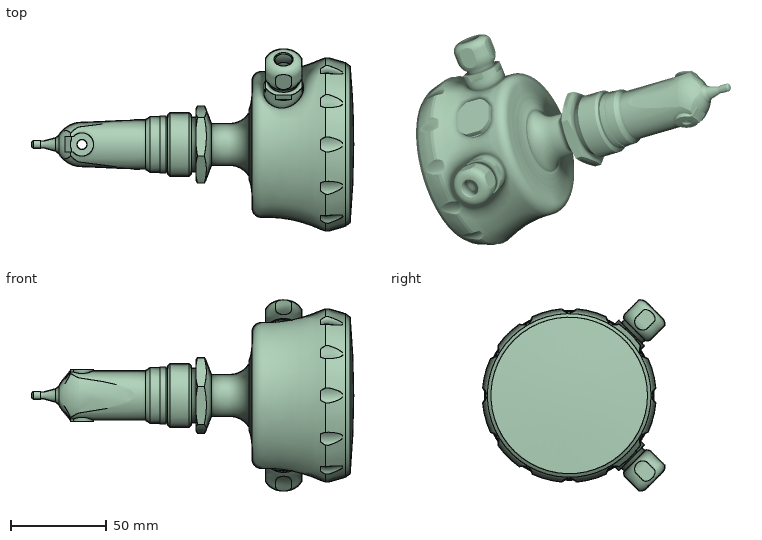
import cadquery as cq
import math

LENGTH = 168.8

PIN_RADIUS = 2.11
PIN_CHAMFER = 0.8
PIN_END = 4.7
PIN_NECK_RADIUS = 1.9
PIN_NECK_END = 6.2
PIN_CONE_END = 12.5
PIN_CONE_RADIUS = 3.5

BODY_RADIUS = 13.0
NOSE_START = 14.2
NOSE_START_RADIUS = 4.9
NOSE_MID = 17.5
NOSE_MID_RADIUS = 9.6
NOSE_BULGE = 0.3
NOSE_END = 20.5
BODY_END = 59.5

FLANK_OFFSET = 6.8
FLANK_NOSE_HALF_WIDTH = 4.9
FLANK_MID = 17.7
FLANK_MID_HALF_WIDTH = 8.8
FLANK_FRONT = 24.8
FLANK_FRONT_HALF_WIDTH = 11.6
FLANK_BACK = 54.0

CROSS_HOLE_X = 26.3
CROSS_HOLE_DIAMETER = 5.0
PAD_DIAMETER = 12.2
PAD_HEIGHT = 13.7
PAD_RAMP_WIDTH = 8.1
PAD_RAMP_TOP = 20.8

COLLAR_RADIUS = 15.0
COLLAR_START = 62.1
COLLAR_FRONT_RADIUS = 14.7
COLLAR_STEP = 67.3
COLLAR_END = 70.4
COLLAR_GROOVE_RADIUS = 14.3
COLLAR_GROOVE_END = 71.2
SLEEVE_RADIUS = 16.7
SLEEVE_CHAMFER = 1.2
SLEEVE_END = 83.7
RELIEF_RADIUS = 14.3

NUT_START = 86.0
NUT_CORNER_RADIUS = 20.8
NUT_FRONT_RADIUS = 18.4
NUT_FRONT_CHAMFER = 0.8
NUT_CONE_START = 90.5
NUT_CONE_END = 94.2
NUT_ROTATION = 13.3

NECK_RADIUS = 11.05
FLARE_START = 104.0
FLARE_RADIUS = 11.5
FLARE_SHELF = 113.7
DISH_RADIUS = 26.3
DISH_END_RADIUS = 27.2

CASE_FACE = 115.5
CASE_FRONT_RADIUS = 38.3
CASE_EDGE_RADIUS = 5.0
CASE_SIDE_MID = (135.0, 39.3)
CASE_END = 149.5
CASE_END_RADIUS = 43.7

LID_RADIUS = 45.5
LID_BAND_START = 153.9
LID_BAND_END = 155.6
LID_BACK_EDGE = 166.9
LID_BACK_RADIUS = 41.0
LID_SHOULDER = 164.4
LID_SHOULDER_RADIUS = 42.9

NOTCH_COUNT = 12
NOTCH_CUTTER_RADIUS = 5.4
NOTCH_START = 151.5
NOTCH_FLOOR_RADIUS = 43.9
NOTCH_TILT = 3.0
NOTCH_LENGTH = 20.3

PORT_X = 132.0
PORT_ROOT = 30.4
PORT_DIAMETER = 20.8
PORT_FLATS = 19.0
PORT_FLATS_HEIGHT = 3.2
GLAND_ANGLES = (45, 135)
PLUG_ANGLE = 90
GLAND_COLLAR_TOP = 46.2
PLUG_TOP = 41.3
GLAND_NECK_DIAMETER = 15.2
GLAND_NUT_BOTTOM = 48.6
GLAND_NUT_TOP = 63.1
GLAND_NUT_BOTTOM_RADIUS = 8.5
GLAND_NUT_BAND_START = 54.0
GLAND_NUT_ROUND = 4.4
GLAND_BORE_DIAMETER = 9.0
GLAND_BORE_DEPTH = 6.8
GLAND_BORE_CHAMFER = 0.5


def revolve_about_x(profile, offset=0.0):
    """Turn a profile drawn in the XY plane about the line y = offset."""
    return profile.close().revolve(360, (0, offset, 0), (1, offset, 0))


def make_probe():
    nose_middle = (
        (NOSE_START + NOSE_MID - NOSE_BULGE) / 2,
        (NOSE_START_RADIUS + NOSE_MID_RADIUS + NOSE_BULGE) / 2,
    )
    body = revolve_about_x(
        cq.Workplane("XY")
        .moveTo(NOSE_START, 0)
        .lineTo(NOSE_START, NOSE_START_RADIUS)
        .threePointArc(nose_middle, (NOSE_MID, NOSE_MID_RADIUS))
        .lineTo(NOSE_END, BODY_RADIUS)
        .lineTo(BODY_END, BODY_RADIUS)
        .lineTo(BODY_END, 0)
    )
    for side in (1, -1):
        offset = -side * FLANK_OFFSET
        flank = revolve_about_x(
            cq.Workplane("XY")
            .moveTo(NOSE_START, offset)
            .lineTo(NOSE_START, side * FLANK_NOSE_HALF_WIDTH)
            .threePointArc(
                (FLANK_MID, side * FLANK_MID_HALF_WIDTH),
                (FLANK_FRONT, side * FLANK_FRONT_HALF_WIDTH),
            )
            .lineTo(FLANK_BACK, side * BODY_RADIUS)
            .lineTo(BODY_END, side * BODY_RADIUS)
            .lineTo(BODY_END, offset),
            offset,
        )
        body = body.intersect(flank)

    pads = (
        cq.Workplane("XY", origin=(CROSS_HOLE_X, 0, -PAD_HEIGHT))
        .circle(PAD_DIAMETER / 2)
        .extrude(2 * PAD_HEIGHT)
    )
    pad_ramps = (
        cq.Workplane("XZ")
        .moveTo(NOSE_MID, -NOSE_MID_RADIUS)
        .lineTo(NOSE_MID, NOSE_MID_RADIUS)
        .lineTo(PAD_RAMP_TOP, PAD_HEIGHT)
        .lineTo(CROSS_HOLE_X, PAD_HEIGHT)
        .lineTo(CROSS_HOLE_X, -PAD_HEIGHT)
        .lineTo(PAD_RAMP_TOP, -PAD_HEIGHT)
        .close()
        .extrude(PAD_RAMP_WIDTH / 2, both=True)
    )
    cross_hole = (
        cq.Workplane("XY", origin=(CROSS_HOLE_X, 0, -PAD_HEIGHT))
        .circle(CROSS_HOLE_DIAMETER / 2)
        .extrude(2 * PAD_HEIGHT)
    )
    pin = revolve_about_x(
        cq.Workplane("XY")
        .lineTo(0, PIN_RADIUS - PIN_CHAMFER)
        .lineTo(PIN_CHAMFER, PIN_RADIUS)
        .lineTo(PIN_END, PIN_RADIUS)
        .lineTo(PIN_END, PIN_NECK_RADIUS)
        .lineTo(PIN_NECK_END, PIN_NECK_RADIUS)
        .lineTo(PIN_CONE_END, PIN_CONE_RADIUS)
        .lineTo(NOSE_START, NOSE_START_RADIUS)
        .lineTo(FLANK_MID, NOSE_START_RADIUS)
        .lineTo(FLANK_MID, 0)
    )
    return body.union(pads).union(pad_ramps).union(pin).cut(cross_hole)


def make_turned_body():
    """Collar, sleeve, neck, case and lid as one turned profile."""
    round_middle = CASE_EDGE_RADIUS * (1 - math.sqrt(0.5))
    flare_run = FLARE_SHELF - FLARE_START
    flare_end_radius = NECK_RADIUS + FLARE_RADIUS - math.sqrt(FLARE_RADIUS**2 - flare_run**2)
    dish_rise = DISH_RADIUS - (CASE_FACE - FLARE_SHELF)
    dish_start_radius = DISH_END_RADIUS - math.sqrt(DISH_RADIUS**2 - dish_rise**2)
    crown_height = LENGTH - LID_BACK_EDGE
    crown_radius = (LID_BACK_RADIUS**2 + crown_height**2) / (2 * crown_height)
    crown_middle_radius = LID_BACK_RADIUS / 2
    crown_middle_x = LENGTH - crown_radius + math.sqrt(crown_radius**2 - crown_middle_radius**2)
    return revolve_about_x(
        cq.Workplane("XY")
        .moveTo(BODY_END, 0)
        .lineTo(BODY_END, BODY_RADIUS)
        .lineTo(COLLAR_START, COLLAR_FRONT_RADIUS)
        .lineTo(COLLAR_STEP, COLLAR_FRONT_RADIUS)
        .lineTo(COLLAR_STEP, COLLAR_RADIUS)
        .lineTo(COLLAR_END, COLLAR_RADIUS)
        .lineTo(COLLAR_END, COLLAR_GROOVE_RADIUS)
        .lineTo(COLLAR_GROOVE_END, COLLAR_GROOVE_RADIUS)
        .lineTo(COLLAR_GROOVE_END, SLEEVE_RADIUS - SLEEVE_CHAMFER)
        .lineTo(COLLAR_GROOVE_END + SLEEVE_CHAMFER, SLEEVE_RADIUS)
        .lineTo(SLEEVE_END - SLEEVE_CHAMFER, SLEEVE_RADIUS)
        .lineTo(SLEEVE_END, SLEEVE_RADIUS - SLEEVE_CHAMFER)
        .lineTo(SLEEVE_END, RELIEF_RADIUS)
        .lineTo(NUT_START, RELIEF_RADIUS)
        .lineTo(NUT_START, NECK_RADIUS)
        .lineTo(FLARE_START, NECK_RADIUS)
        .radiusArc((FLARE_SHELF, flare_end_radius), -FLARE_RADIUS)
        .lineTo(FLARE_SHELF, dish_start_radius)
        .radiusArc((CASE_FACE, DISH_END_RADIUS), -DISH_RADIUS)
        .lineTo(CASE_FACE, CASE_FRONT_RADIUS - CASE_EDGE_RADIUS)
        .threePointArc(
            (CASE_FACE + round_middle, CASE_FRONT_RADIUS - round_middle),
            (CASE_FACE + CASE_EDGE_RADIUS, CASE_FRONT_RADIUS),
        )
        .threePointArc(CASE_SIDE_MID, (CASE_END, CASE_END_RADIUS))
        .lineTo(LID_BAND_START, LID_RADIUS)
        .lineTo(LID_BAND_END, LID_RADIUS)
        .lineTo(LID_SHOULDER, LID_SHOULDER_RADIUS)
        .lineTo(LID_BACK_EDGE, LID_BACK_RADIUS)
        .threePointArc((crown_middle_x, crown_middle_radius), (LENGTH, 0))
    )


def make_hex_nut():
    hexagon = (
        cq.Workplane("YZ", origin=(NUT_START, 0, 0))
        .polygon(6, 2 * NUT_CORNER_RADIUS)
        .extrude(NUT_CONE_END - NUT_START)
        .rotate((0, 0, 0), (1, 0, 0), -NUT_ROTATION)
    )
    turned_limits = revolve_about_x(
        cq.Workplane("XY")
        .moveTo(NUT_START, 0)
        .lineTo(NUT_START, NUT_FRONT_RADIUS)
        .lineTo(NUT_START + NUT_FRONT_CHAMFER, NUT_CORNER_RADIUS)
        .lineTo(NUT_CONE_START, NUT_CORNER_RADIUS)
        .lineTo(NUT_CONE_END, NECK_RADIUS)
        .lineTo(NUT_CONE_END, 0)
    )
    return hexagon.intersect(turned_limits)


def make_flats(bottom, top):
    """Square bar whose sides are the four wrench flats of a port."""
    return (
        cq.Workplane("XY", origin=(0, 0, bottom))
        .rect(PORT_FLATS, PORT_FLATS)
        .extrude(top - bottom)
    )


def make_collar(top):
    """Round collar with four wrench flats at its outer end."""
    flats_bottom = top - PORT_FLATS_HEIGHT
    collar = (
        cq.Workplane("XY", origin=(0, 0, PORT_ROOT))
        .circle(PORT_DIAMETER / 2)
        .extrude(top - PORT_ROOT)
    )
    flats_limit = make_flats(flats_bottom, top).union(
        cq.Workplane("XY", origin=(0, 0, PORT_ROOT))
        .circle(PORT_DIAMETER / 2)
        .extrude(flats_bottom - PORT_ROOT)
    )
    return collar.intersect(flats_limit)


def make_gland():
    neck = (
        cq.Workplane("XY", origin=(0, 0, PORT_ROOT))
        .circle(GLAND_NECK_DIAMETER / 2)
        .extrude(GLAND_NUT_TOP - PORT_ROOT - GLAND_BORE_DEPTH)
    )
    band_radius = PORT_DIAMETER / 2
    taper_height = GLAND_NUT_BAND_START - GLAND_NUT_BOTTOM
    taper_depth = band_radius - GLAND_NUT_BOTTOM_RADIUS
    taper_radius = (taper_height**2 + taper_depth**2) / (2 * taper_depth)
    turned_nut = (
        cq.Workplane("XZ")
        .moveTo(0, GLAND_NUT_BOTTOM)
        .lineTo(GLAND_NUT_BOTTOM_RADIUS, GLAND_NUT_BOTTOM)
        .radiusArc((band_radius, GLAND_NUT_BAND_START), -taper_radius)
        .lineTo(band_radius, GLAND_NUT_TOP - GLAND_NUT_ROUND)
        .radiusArc((band_radius - GLAND_NUT_ROUND, GLAND_NUT_TOP), -GLAND_NUT_ROUND)
        .lineTo(0, GLAND_NUT_TOP)
        .close()
        .revolve(360, (0, 0, 0), (0, 1, 0))
    )
    nut = turned_nut.intersect(make_flats(GLAND_NUT_BOTTOM, GLAND_NUT_TOP))
    nut = (
        nut.faces(">Z").workplane(origin=(0, 0, GLAND_NUT_TOP))
        .cskHole(
            GLAND_BORE_DIAMETER,
            GLAND_BORE_DIAMETER + 2 * GLAND_BORE_CHAMFER,
            90,
            GLAND_BORE_DEPTH,
        )
    )
    return make_collar(GLAND_COLLAR_TOP).union(neck).union(nut)


def place_port(port, angle):
    """Stand a port on the case; the angle is measured from +Z for 0 towards +Y."""
    return port.rotate((0, 0, 0), (1, 0, 0), -angle).translate((PORT_X, 0, 0))


def make_notch():
    """Tilted cylinder that scoops one grip notch out of the top of the lid."""
    return (
        cq.Workplane("YZ")
        .circle(NOTCH_CUTTER_RADIUS)
        .extrude(NOTCH_LENGTH)
        .rotate((0, 0, 0), (0, 1, 0), NOTCH_TILT)
        .translate((NOTCH_START, 0, NOTCH_FLOOR_RADIUS + NOTCH_CUTTER_RADIUS))
    )


lid_and_case = make_turned_body()
notch = make_notch()
for index in range(NOTCH_COUNT):
    angle = index * 360 / NOTCH_COUNT
    lid_and_case = lid_and_case.cut(notch.rotate((0, 0, 0), (1, 0, 0), angle))

result = lid_and_case.union(make_probe()).union(make_hex_nut())
for angle in GLAND_ANGLES:
    result = result.union(place_port(make_gland(), angle))
result = result.union(place_port(make_collar(PLUG_TOP), PLUG_ANGLE))